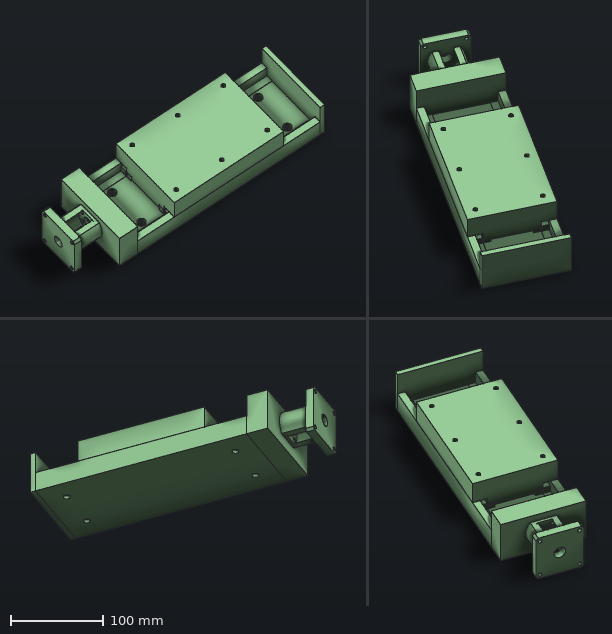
import cadquery as cq
import math

stage_width = 101.5
stage_height = 51.0

base_length = 254.0
base_height = 24.0
wall_thickness = 9.0
seat_width = 9.0
seat_height = 9.5
floor_drop = 0.3
mount_spacing_x = 51.0
mount_spacing_y = 203.2
mount_hole_diameter = 7.3
mount_head_diameter = 10.2
mount_head_depth = 5.0

end_plate_thickness = 6.3
drive_block_length = 25.5

rail_pair_width = 18.0
rail_width = 8.5
rail_height = 8.0
rail_groove_depth = 1.5

carriage_length = 152.5
keel_half_width = 32.7
keel_bottom = 13.0
tap_spacing_x = 76.3
tap_spacing_y = 63.5
tap_diameter = 5.0
tap_depth = 10.0
drill_point_angle = 118

flange_size = 57.2
flange_thickness = 9.5
flange_chamfer = 3.0
barrel_length = 35.0
barrel_diameter = 41.5
barrel_top_flat = 13.5
barrel_bottom_flat = 14.0
cavity_diameter = 31.7
back_wall_thickness = 3.5
shaft_hole_diameter = 13.5
motor_hole_spacing = 47.0
motor_hole_diameter = 4.3
screw_spacing_x = 19.2
screw_spacing_z = 16.0
screw_hole_diameter = 4.5

half_width = stage_width / 2
inner_wall = half_width - wall_thickness
seat_edge = inner_wall - seat_width
floor_height = seat_height - floor_drop
rail_top = seat_height + rail_height
rail_mid_height = seat_height + rail_height / 2
inner_rail_edge = inner_wall - rail_pair_width
base_front = -base_length / 2
base_back = base_length / 2
block_front = base_front - drive_block_length
flange_back = block_front - barrel_length
axis_height = flange_size / 2
tap_radius = tap_diameter / 2
drill_point_length = tap_radius / math.tan(math.radians(drill_point_angle / 2))


def box_between(x_range, y_range, z_range):
    """Axis-aligned box given by its lower and upper limits."""
    size = [high - low for low, high in (x_range, y_range, z_range)]
    corner = (x_range[0], y_range[0], z_range[0])
    return cq.Workplane("XY").box(*size, centered=False).translate(corner)


def section_along_y(points, front, length):
    """Closed XZ outline extruded from its front toward +Y."""
    return cq.Workplane("XZ", origin=(0, front, 0)).polyline(points).close().extrude(-length)


def cylinder_along_y(diameter, front, length):
    """Cylinder on the motor axis, running from its front toward +Y."""
    plane = cq.Workplane("XZ", origin=(0, front, axis_height))
    return plane.circle(diameter / 2).extrude(-length)


def mirrored(points):
    """Outline of the +X half followed by its mirror image."""
    return points + [(-x, z) for x, z in reversed(points)]


def make_base():
    """U-shaped channel with a raised rail seat along each wall and four counterbored holes."""
    outline = mirrored([
        (half_width, 0),
        (half_width, base_height),
        (inner_wall, base_height),
        (inner_wall, seat_height),
        (seat_edge, seat_height),
        (seat_edge, floor_height),
    ])
    base = section_along_y(outline, base_front, base_length)
    floor = cq.Workplane("XY", origin=(0, 0, floor_height))
    holes = floor.rarray(mount_spacing_x, mount_spacing_y, 2, 2)
    shanks = holes.circle(mount_hole_diameter / 2).extrude(-floor_height)
    heads = holes.circle(mount_head_diameter / 2).extrude(-mount_head_depth)
    return base.cut(shanks).cut(heads)


def make_end_plate():
    return box_between(
        (-half_width, half_width), (base_back, base_back + end_plate_thickness), (0, stage_height)
    )


def make_drive_block():
    return box_between((-half_width, half_width), (block_front, base_front), (0, stage_height))


def make_rail(outer_edge, inward):
    """Rail whose flat back is at outer_edge and whose V-groove faces the direction of inward."""
    face = outer_edge + inward * rail_width
    outline = [
        (outer_edge, seat_height),
        (face, seat_height),
        (face, rail_mid_height - rail_groove_depth),
        (face - inward * rail_groove_depth, rail_mid_height),
        (face, rail_mid_height + rail_groove_depth),
        (face, rail_top),
        (outer_edge, rail_top),
    ]
    return section_along_y(outline, -carriage_length / 2, carriage_length)


def drilled_hole():
    """Blind tap hole below the origin, ending in a conical drill point."""
    outline = [
        (0, 0),
        (tap_radius, 0),
        (tap_radius, -tap_depth),
        (0, -tap_depth - drill_point_length),
    ]
    return cq.Workplane("XZ").polyline(outline).close().revolve(360, (0, 0), (0, 1)).val()


def make_carriage():
    """Table with a keel between the base walls, notched on both sides for its rails."""
    outline = mirrored([
        (inner_rail_edge, keel_bottom),
        (inner_rail_edge, rail_top),
        (keel_half_width, rail_top),
        (keel_half_width, base_height),
        (half_width, base_height),
        (half_width, stage_height),
    ])
    carriage = section_along_y(outline, -carriage_length / 2, carriage_length)
    tap_places = cq.Workplane("XY", origin=(0, 0, stage_height)).rarray(tap_spacing_x, tap_spacing_y, 2, 3)
    return carriage.cut(tap_places.eachpoint(drilled_hole()))


def make_motor_adapter():
    """Square motor flange on a flat-sided barrel whose cavity opens through both flats."""
    flange_front = flange_back - flange_thickness
    flange = (
        cq.Workplane("XZ", origin=(0, flange_back, axis_height))
        .rect(flange_size, flange_size)
        .extrude(flange_thickness)
        .edges("|Y")
        .chamfer(flange_chamfer)
    )
    flats = box_between(
        (-barrel_diameter, barrel_diameter),
        (flange_back, block_front),
        (axis_height - barrel_bottom_flat, axis_height + barrel_top_flat),
    )
    barrel = cylinder_along_y(barrel_diameter, flange_back, barrel_length).intersect(flats)
    cavity = cylinder_along_y(cavity_diameter, flange_back, barrel_length - back_wall_thickness)
    shaft_hole = cylinder_along_y(shaft_hole_diameter, flange_front, flange_thickness + barrel_length)
    motor_holes = (
        cq.Workplane("XZ", origin=(0, flange_front, axis_height))
        .rarray(motor_hole_spacing, motor_hole_spacing, 2, 2)
        .circle(motor_hole_diameter / 2)
        .extrude(-flange_thickness)
    )
    screw_holes = (
        cq.Workplane("XZ", origin=(0, block_front, axis_height))
        .rarray(screw_spacing_x, screw_spacing_z, 2, 2)
        .circle(screw_hole_diameter / 2)
        .extrude(back_wall_thickness)
    )
    return flange.union(barrel).cut(cavity).cut(shaft_hole).cut(motor_holes).cut(screw_holes)


base = make_base()
end_plate = make_end_plate()
drive_block = make_drive_block()
carriage = make_carriage()
motor_adapter = make_motor_adapter()
base_rails = [make_rail(side * inner_wall, -side) for side in (-1, 1)]
carriage_rails = [make_rail(side * inner_rail_edge, side) for side in (-1, 1)]

result = cq.Compound.makeCompound([
    base.val(),
    end_plate.val(),
    drive_block.val(),
    carriage.val(),
    motor_adapter.val(),
    *[rail.val() for rail in base_rails + carriage_rails],
])